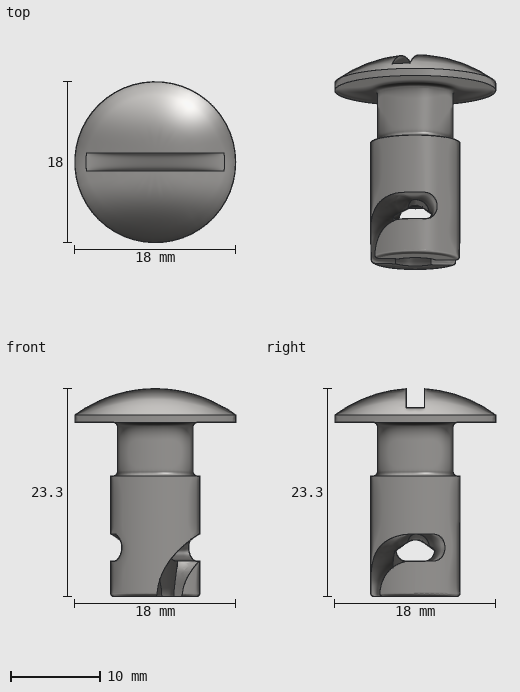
import cadquery as cq
import math

total_height = 23.25
head_radius = 9.0
head_bottom = 19.5
rim_top = 20.3
driver_slot_width = 2.0
driver_slot_depth = 2.12
slot_edge = driver_slot_width / 2
dome_center = (total_height**2 + slot_edge**2 - rim_top**2 - head_radius**2) / (
    2 * (total_height - rim_top)
)
dome_radius = math.hypot(slot_edge, total_height - dome_center)

neck_radius = 4.23
body_radius = 5.0
body_top = 13.5
neck_fillet = 0.51
end_fillet = 0.42

bore_radius = body_radius / 2
bore_tip = 6.6
drill_half_angle = math.radians(59)
bore_shoulder = bore_tip - bore_radius / math.tan(drill_half_angle)

slot_width = 3.0
slot_run_height = 5.5
slot_run_start = -2.1
bend_start = 0.65
bend_radius = slot_run_height
bend_sweep = math.radians(96)
bend_steps = 16
slot_floor = 0.47
cutter_outer = body_radius + 0.93


def make_stud():
    """Revolved head, neck and body, before any cuts."""
    middle_radius = head_radius / 2
    middle_height = dome_center + math.sqrt(dome_radius**2 - middle_radius**2)
    fillet_reach = neck_radius + neck_fillet
    bend = neck_fillet * (1 - math.sqrt(0.5))
    profile = (
        cq.Workplane("XZ")
        .lineTo(body_radius - end_fillet, 0)
        .radiusArc((body_radius, end_fillet), -end_fillet)
        .lineTo(body_radius, body_top)
        .lineTo(fillet_reach, body_top)
        .threePointArc((neck_radius + bend, body_top + bend), (neck_radius, body_top + neck_fillet))
        .lineTo(neck_radius, head_bottom - neck_fillet)
        .threePointArc((neck_radius + bend, head_bottom - bend), (fillet_reach, head_bottom))
        .lineTo(head_radius, head_bottom)
        .lineTo(head_radius, rim_top)
        .threePointArc((middle_radius, middle_height), (0, dome_center + dome_radius))
        .close()
    )
    return profile.revolve(360, (0, 0, 0), (0, 1, 0))


def make_driver_slot():
    return cq.Workplane("XY").workplane(offset=total_height - driver_slot_depth).rect(
        2 * head_radius, driver_slot_width
    ).extrude(2 * driver_slot_depth)


def make_bore():
    return (
        cq.Workplane("XZ")
        .polyline([(0, 0), (bore_radius, 0), (bore_radius, bore_shoulder), (0, bore_tip)])
        .close()
        .revolve(360, (0, 0, 0), (0, 1, 0))
    )


def cutter_point(station, depth_radius, side):
    """Point on a cutter wall; side is +1 for the upper wall and -1 for the lower wall."""
    arc_length, height, turn = station
    angle = arc_length / body_radius
    radial = cq.Vector(-math.cos(angle), math.sin(angle), 0)
    around = cq.Vector(math.sin(angle), math.cos(angle), 0)
    offset = side * slot_width / 2
    axis_point = radial * depth_radius + cq.Vector(0, 0, height)
    return axis_point + around * (offset * math.sin(turn)) + cq.Vector(0, 0, offset * math.cos(turn))


def sweep_cutter(stations):
    """Solid swept by the parallel-walled cutter through the given path stations."""
    corners = [(slot_floor, -1), (cutter_outer, -1), (cutter_outer, 1), (slot_floor, 1)]
    rails = [
        cq.Edge.makeSpline([cutter_point(station, radius, side) for station in stations])
        for radius, side in corners
    ]
    faces = [cq.Face.makeRuledSurface(rails[i - 1], rails[i]) for i in range(len(rails))]
    for station in (stations[0], stations[-1]):
        section = [cutter_point(station, radius, side) for radius, side in corners]
        faces.append(cq.Face.makeFromWires(cq.Wire.makePolygon(section, close=True)))
    return cq.Solid.makeSolid(cq.Shell.makeShell(faces)).fix()


def make_cam_slot():
    """Cutting solids for a round-ended level run that bends down through the lower end."""
    end_angle = slot_run_start / body_radius
    end_direction = cq.Vector(-math.cos(end_angle), math.sin(end_angle), 0)
    round_end = cq.Solid.makeCylinder(
        slot_width / 2,
        cutter_outer - slot_floor,
        end_direction * slot_floor + cq.Vector(0, 0, slot_run_height),
        end_direction,
    )
    cutter_middle = (slot_floor + cutter_outer) / 2
    run_angle = math.degrees((bend_start - slot_run_start) / body_radius)
    level_run = (
        cq.Workplane("XZ")
        .center(-cutter_middle, slot_run_height)
        .rect(cutter_outer - slot_floor, slot_width)
        .revolve(run_angle, (cutter_middle, 0.23, 0), (cutter_middle, 0, 0))
        .rotate((0, 0, 0), (0, 0, 1), -math.degrees(end_angle))
        .val()
    )
    turns = [bend_sweep * i / bend_steps for i in range(bend_steps + 1)]
    bend = [
        (bend_start + bend_radius * math.sin(turn), bend_radius * math.cos(turn), turn)
        for turn in turns
    ]
    return [round_end, level_run, sweep_cutter(bend)]


result = make_stud().cut(make_driver_slot()).cut(make_bore())
for cutter in make_cam_slot():
    for rotation in (0, 180):
        turned_cutter = cutter.rotate(cq.Vector(0, 0, 0), cq.Vector(0, 0, 1), rotation)
        result = result.cut(cq.Workplane(turned_cutter))